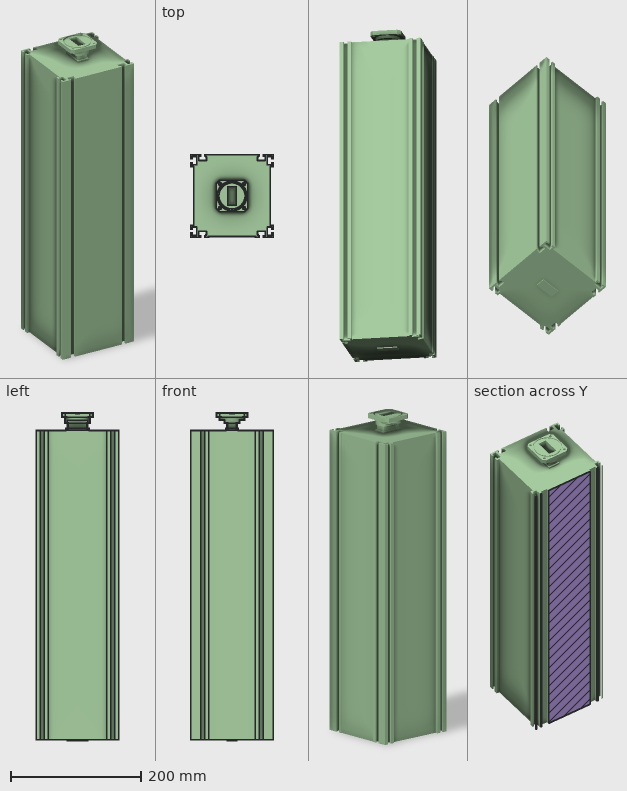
import cadquery as cq

total_height = 503.0
housing_side = 127.0
half_side = housing_side / 2

foot_height = 1.5
fitting_height = 26.5
housing_bottom = foot_height
housing_top = total_height - fitting_height
housing_height = housing_top - housing_bottom

front_mouth_inner = 41.5
front_mouth_outer = 48.5
front_cavity_inner = 39.0
front_cavity_outer = 51.0
front_outer_lip = 2.5
front_inner_lip_tip = 2.0
front_inner_lip_root = 4.0

side_mouth_inner = 51.0
side_mouth_outer = 57.0
side_cavity_inner = 48.0
side_cavity_outer = 60.5
side_lip = 2.5

slot_depth = 9.0

front_panel_half_width = 35.5
front_panel_depth = 1.0
side_panel_half_width = 45.0
side_panel_depth = 4.5

guide_outer_x = 16.0
guide_outer_y = 31.5
guide_bore_x = 13.0
guide_bore_y = 28.5
collar_margin_x = 1.5
collar_margin_y = 2.0
collar_height = 3.0

foot_x = 14.5
foot_y = guide_outer_y

flange_side = 48.0
flange_thickness = 6.5
flange_corner = 4.8
bolt_offset = 18.5
bolt_hole_diameter = 4.0
groove_inner_radius = 20.0
groove_outer_radius = 22.5
groove_depth = 1.5

boss_diameter = 38.5
boss_height = 9.0
boss_round_height = 4.5
boss_flat_width = 23.0


def box_on(z_bottom, size_x, size_y, height):
    """Centred upright box standing at the given height."""
    return cq.Workplane("XY").workplane(offset=z_bottom).rect(size_x, size_y).extrude(height)


def t_slot(mouth_inner, mouth_outer, cavity_inner, cavity_outer, outer_lip, inner_lip_tip, inner_lip_root):
    """T-slot in the +Y face on the +X half; its inner lip may thicken from tip to root."""
    outer_lip_level = half_side - outer_lip
    floor_level = half_side - slot_depth
    return (
        cq.Workplane("XY")
        .workplane(offset=housing_bottom)
        .polyline(
            [
                (mouth_inner, half_side),
                (mouth_inner, half_side - inner_lip_tip),
                (cavity_inner, half_side - inner_lip_root),
                (cavity_inner, floor_level),
                (cavity_outer, floor_level),
                (cavity_outer, outer_lip_level),
                (mouth_outer, outer_lip_level),
                (mouth_outer, half_side),
            ]
        )
        .close()
        .extrude(housing_height)
    )


def panel_recess(half_width, depth):
    """Shallow recess in the middle of the +Y face, over the full housing height."""
    return (
        cq.Workplane("XY")
        .workplane(offset=housing_bottom)
        .center(0, half_side - depth / 2)
        .rect(2 * half_width, depth)
        .extrude(housing_height)
    )


def make_housing():
    """Slotted square column with a small rectangular foot underneath."""
    front_slot = t_slot(
        front_mouth_inner,
        front_mouth_outer,
        front_cavity_inner,
        front_cavity_outer,
        front_outer_lip,
        front_inner_lip_tip,
        front_inner_lip_root,
    )
    side_slot = t_slot(
        side_mouth_inner,
        side_mouth_outer,
        side_cavity_inner,
        side_cavity_outer,
        side_lip,
        side_lip,
        side_lip,
    )
    front_panel = panel_recess(front_panel_half_width, front_panel_depth)
    side_panel = panel_recess(side_panel_half_width, side_panel_depth)

    column = box_on(housing_bottom, housing_side, housing_side, housing_height)
    face_cutters = {
        0: [front_slot, front_slot.mirror("YZ")],
        90: [side_slot, side_slot.mirror("YZ"), side_panel],
        180: [front_slot, front_slot.mirror("YZ"), front_panel],
        270: [side_slot, side_slot.mirror("YZ"), side_panel],
    }
    for angle, cutters in face_cutters.items():
        for cutter in cutters:
            column = column.cut(cutter.rotate((0, 0, 0), (0, 0, 1), angle))

    foot = box_on(0, foot_x, foot_y, foot_height)
    return column.union(foot)


def make_boss(flange_bottom):
    """Round boss whose lower part is narrowed by two flats facing +X and -X."""
    round_bottom = flange_bottom - boss_round_height
    boss_bottom = flange_bottom - boss_height
    disc = cq.Workplane("XY").workplane(offset=boss_bottom).circle(boss_diameter / 2).extrude(boss_height)
    round_part = box_on(round_bottom, boss_diameter, boss_diameter, boss_round_height)
    flat_part = box_on(boss_bottom, boss_flat_width, boss_diameter, boss_height)
    return disc.intersect(round_part.union(flat_part))


def make_flange(flange_bottom):
    """Square flange with bevelled corners, four bolt holes and a ring groove on top."""
    plate = box_on(flange_bottom, flange_side, flange_side, flange_thickness)
    plate = plate.edges("|Z").chamfer(flange_corner)
    bolt_holes = (
        cq.Workplane("XY")
        .workplane(offset=flange_bottom)
        .rect(2 * bolt_offset, 2 * bolt_offset, forConstruction=True)
        .vertices()
        .circle(bolt_hole_diameter / 2)
        .extrude(flange_thickness)
    )
    groove = (
        cq.Workplane("XY")
        .workplane(offset=total_height - groove_depth)
        .circle(groove_outer_radius)
        .circle(groove_inner_radius)
        .extrude(groove_depth)
    )
    return plate.cut(bolt_holes).cut(groove)


def make_waveguide():
    """Flanged waveguide standing on the housing, open from end to end."""
    flange_bottom = total_height - flange_thickness
    collar = box_on(
        housing_top, guide_outer_x + 2 * collar_margin_x, guide_outer_y + 2 * collar_margin_y, collar_height
    )
    tube = box_on(housing_top, guide_outer_x, guide_outer_y, fitting_height)
    bore = box_on(housing_top, guide_bore_x, guide_bore_y, fitting_height)
    flange = make_flange(flange_bottom)
    boss = make_boss(flange_bottom)
    return flange.union(boss).union(tube).union(collar).cut(bore)


housing = make_housing()
waveguide = make_waveguide()

result = cq.Compound.makeCompound([housing.val(), waveguide.val()])